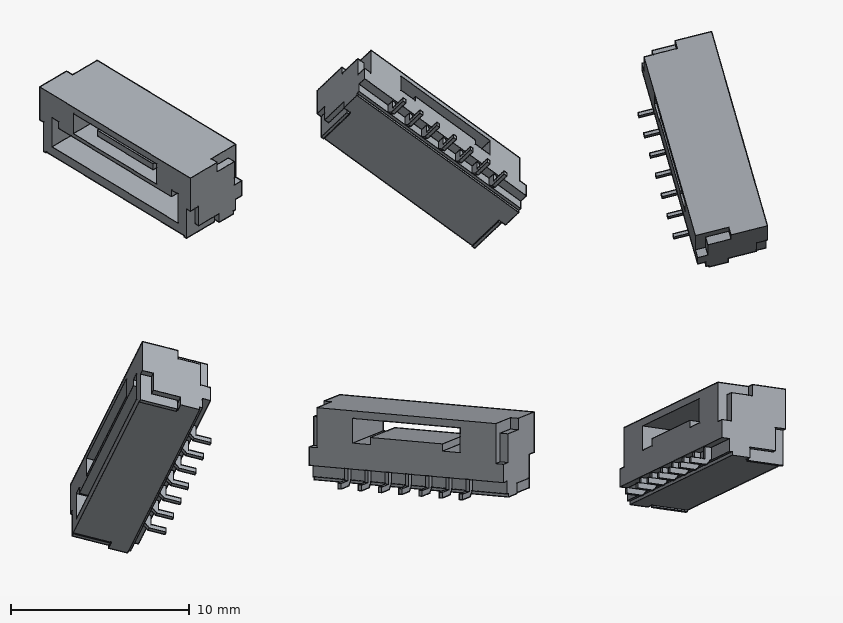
import cadquery as cq

length = 12.0
total_depth = 4.85
total_height = 4.35
half_length = length / 2

pin_overhang = 0.8
housing_depth = total_depth - pin_overhang
standoff = 0.08
ledge_depth, ledge_z = 0.48, 1.02
heel_depth, heel_z = 0.65, 0.29

pocket_width = 10.02
pocket_floor_z = 0.7
pocket_roof_z = 2.25
pocket_depth = 3.24
key_width, key_top_z = 0.52, 2.72

window_width = 6.62
window_floor_z, window_top_z = 2.51, 3.91
bar_width, bar_height = 4.45, 0.41
bar_setback = 0.8

rear_notch_width = 0.48
rear_notch_run = 1.93
rear_notch_height = 0.65
rear_notch_leg = 0.59
rear_notch_bottom_z = 2.06

recess_width = 0.3
recess_run = 2.27
recess_step_z = pocket_floor_z
recess_leg = 0.65
recess_top_z = 2.04
tab_thickness = 0.19
tab_run = 2.2
tab_outer_x = half_length - recess_width
tab_x = (tab_outer_x - tab_thickness, tab_outer_x)

pin_count = 7
pin_pitch = 1.25
pin_width = 0.2
pin_foot_height = 0.32
pin_leg_thickness = 0.4
pin_heel_chamfer = 0.28


def box(x_range, y_range, z_range):
    """Box spanning the given (low, high) ranges."""
    (x0, x1), (y0, y1), (z0, z1) = x_range, y_range, z_range
    return cq.Workplane("XY").box(x1 - x0, y1 - y0, z1 - z0, centered=False).translate((x0, y0, z0))


def centred_box(width, y_range, z_range):
    """Box of the given X width, centred on X = 0."""
    return box((-width / 2, width / 2), y_range, z_range)


def side_profile(points, x_start, width):
    """Extrude a closed (Y, Z) outline along +X, starting at x_start."""
    return cq.Workplane("YZ").workplane(offset=x_start).polyline(points).close().extrude(width)


def both_ends(solid):
    """The solid together with its mirror image at the other end."""
    return solid.union(solid.mirror("YZ"))


def housing_block():
    outline = [
        (0, standoff),
        (housing_depth - heel_depth, standoff),
        (housing_depth - heel_depth, heel_z),
        (housing_depth - ledge_depth, heel_z),
        (housing_depth - ledge_depth, ledge_z),
        (housing_depth, ledge_z),
        (housing_depth, total_height),
        (0, total_height),
    ]
    return side_profile(outline, -half_length, length)


def mating_pocket():
    depth = (0, pocket_depth)
    cavity = centred_box(pocket_width, depth, (pocket_floor_z, pocket_roof_z))
    key_inner_x = pocket_width / 2 - key_width
    key = box((key_inner_x, pocket_width / 2), depth, (pocket_floor_z, key_top_z))
    return cavity.union(both_ends(key))


def latch_window():
    opening = centred_box(window_width, (0, housing_depth), (window_floor_z, window_top_z))
    bar_z = (window_floor_z, window_floor_z + bar_height)
    bar = centred_box(bar_width, (bar_setback, housing_depth), bar_z)
    return opening.cut(bar)


def rear_notches():
    outline = [
        (housing_depth, total_height),
        (housing_depth - rear_notch_run, total_height),
        (housing_depth - rear_notch_run, total_height - rear_notch_height),
        (housing_depth - rear_notch_leg, total_height - rear_notch_height),
        (housing_depth - rear_notch_leg, rear_notch_bottom_z),
        (housing_depth, rear_notch_bottom_z),
    ]
    return both_ends(side_profile(outline, half_length - rear_notch_width, rear_notch_width))


def front_recesses():
    outline = [
        (0, 0),
        (recess_run, 0),
        (recess_run, recess_step_z),
        (recess_leg, recess_step_z),
        (recess_leg, recess_top_z),
        (0, recess_top_z),
    ]
    recess = side_profile(outline, half_length - recess_width, recess_width)
    slot = box(tab_x, (0, recess_run), (0, recess_step_z))
    return both_ends(recess.union(slot))


def solder_tabs():
    return both_ends(box(tab_x, (0, tab_run), (0, recess_step_z)))


def pin(centre_x):
    leg_front = housing_depth - ledge_depth
    leg_back = leg_front + pin_leg_thickness
    outline = [
        (total_depth, 0),
        (leg_front + pin_heel_chamfer, 0),
        (leg_front, pin_foot_height),
        (leg_front, ledge_z),
        (leg_back, ledge_z),
        (leg_back, pin_foot_height),
        (total_depth, pin_foot_height),
    ]
    return side_profile(outline, centre_x - pin_width / 2, pin_width)


housing = housing_block()
for cutter in (mating_pocket(), latch_window(), rear_notches(), front_recesses()):
    housing = housing.cut(cutter)

result = housing.union(solder_tabs())
first_pin_x = -pin_pitch * (pin_count - 1) / 2
for index in range(pin_count):
    result = result.union(pin(first_pin_x + index * pin_pitch))